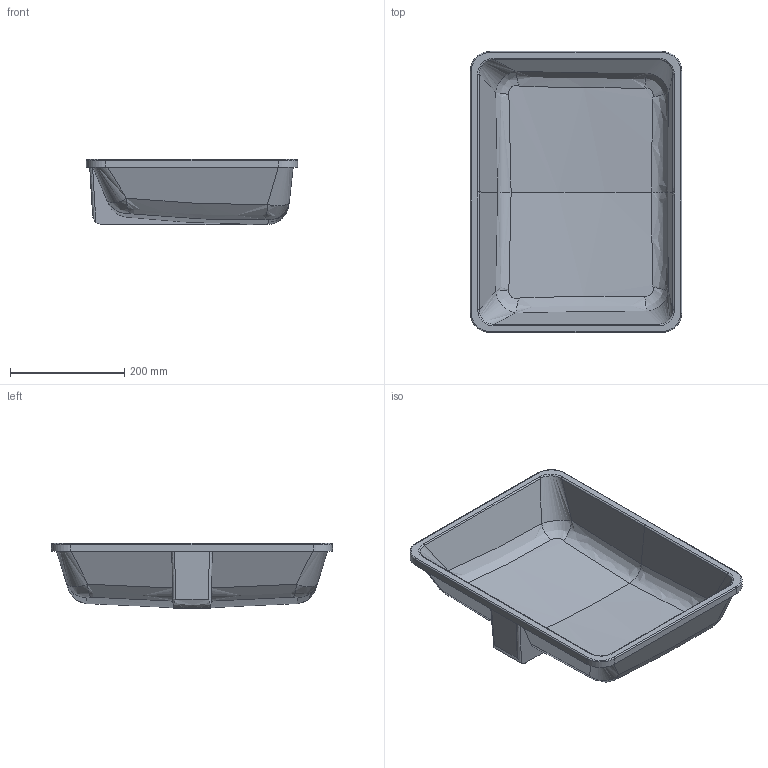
import cadquery as cq
import math

RIM_LENGTH_X = 370.04
RIM_LENGTH_Y = 492.0
RIM_HEIGHT = 14.0
RIM_CORNER_RADIUS = 34.0
RIM_TOP_ROUND = 2.0

TOTAL_HEIGHT = 114.04
WALL_THICKNESS = 8.5
LEFT_WALL_X = -173.5
RIGHT_WALL_X = 177.0
END_WALL_Y = 237.0
LEFT_WALL_SLOPE = 0.43
RIGHT_WALL_SLOPE = 0.11
END_WALL_SLOPE = 0.31
BOWL_TOP_CORNER_RADIUS = 26.0
BOWL_BOTTOM_CORNER_RADIUS = 48.0
FLOOR_FILLET = 38.0
OPENING_ROUND = 2.8

FLOOR_LOW_X = 95.0
FLOOR_ARCH_RADIUS = 1900.0
FLOOR_END_SLOPE = 0.045

CHANNEL_TOP_X = -179.0
CHANNEL_BOTTOM_X = -173.0
CHANNEL_INNER_X = FLOOR_LOW_X
CHANNEL_TOP_HALF_WIDTH = 35.5
CHANNEL_BOTTOM_HALF_WIDTH = 33.0
CHANNEL_EDGE_ROUND = 5.0
CHANNEL_BOTTOM_ROUND = 17.0

CLEARANCE = 20.0


def rectangle_wire(x_min, x_max, y_half, z):
    """Rectangle at height z, symmetric about Y = 0."""
    corners = [(x_min, -y_half), (x_max, -y_half), (x_max, y_half), (x_min, y_half)]
    return cq.Wire.makePolygon([cq.Vector(x, y, z) for x, y in corners], close=True)


def wall_section(inset, z, corner_radius):
    """Rounded outline of the bowl walls at height z, moved inward by the normal distance inset."""
    depth = -RIM_HEIGHT - z

    def inward_run(slope):
        return slope * depth + inset * math.hypot(1, slope)

    x_min = LEFT_WALL_X + inward_run(LEFT_WALL_SLOPE)
    x_max = RIGHT_WALL_X - inward_run(RIGHT_WALL_SLOPE)
    y_half = END_WALL_Y - inward_run(END_WALL_SLOPE)
    sharp_outline = rectangle_wire(x_min, x_max, y_half, z)
    return sharp_outline.fillet2D(corner_radius, sharp_outline.Vertices())


def space_above_floor(inset):
    """Block on the Y >= 0 side, above the arched floor, which is raised by inset."""
    low_z = -TOTAL_HEIGHT + inset
    reach = RIM_LENGTH_X / 2 + CLEARANCE
    radius = FLOOR_ARCH_RADIUS - inset

    def floor_z(x):
        return low_z + radius - math.sqrt(radius**2 - (x - FLOOR_LOW_X) ** 2)

    profile = (
        cq.Workplane("XZ")
        .moveTo(-reach, floor_z(-reach))
        .threePointArc((0, floor_z(0)), (reach, floor_z(reach)))
        .lineTo(reach, CLEARANCE)
        .lineTo(-reach, CLEARANCE)
        .close()
    )
    run = RIM_LENGTH_Y / 2 + CLEARANCE
    direction = cq.Vector(0, run, run * FLOOR_END_SLOPE)
    return cq.Workplane(cq.Solid.extrudeLinear(profile.val(), [], direction))


def bowl_body(inset, top_z):
    """Solid bounded by the walls and floor, moved inward by inset, up to top_z.

    One half is filleted and then mirrored, so the floor keeps its crease at Y = 0.
    """
    bottom_z = -TOTAL_HEIGHT - CLEARANCE
    top = wall_section(inset, top_z, BOWL_TOP_CORNER_RADIUS)
    bottom = wall_section(inset, bottom_z, BOWL_BOTTOM_CORNER_RADIUS)
    walls = cq.Workplane(cq.Solid.makeLoft([top, bottom], True))
    half = walls.intersect(space_above_floor(inset))
    half = half.faces("<Z").edges("not <Y").fillet(FLOOR_FILLET - inset)
    return half.union(half.mirror("XZ"))


def rim():
    """Solid plate that becomes the flange once the cavity is cut."""
    plate = cq.Workplane("XY").rect(RIM_LENGTH_X, RIM_LENGTH_Y).extrude(-RIM_HEIGHT)
    plate = plate.edges("|Z").fillet(RIM_CORNER_RADIUS)
    return plate.faces(">Z").edges().fillet(RIM_TOP_ROUND)


def overflow_channel():
    """Drafted block below the rim that runs from outside the left wall to under the floor."""
    top = rectangle_wire(CHANNEL_TOP_X, CHANNEL_INNER_X, CHANNEL_TOP_HALF_WIDTH, -RIM_HEIGHT)
    bottom = rectangle_wire(
        CHANNEL_BOTTOM_X, CHANNEL_INNER_X, CHANNEL_BOTTOM_HALF_WIDTH, -TOTAL_HEIGHT
    )
    block = cq.Workplane(cq.Solid.makeLoft([top, bottom], True))
    toe_rounded = block.faces("<X").edges("<Z").fillet(CHANNEL_BOTTOM_ROUND)
    sides_rounded = block.faces("<X").edges("not(|Y)").fillet(CHANNEL_EDGE_ROUND)
    return toe_rounded.intersect(sides_rounded)


outer = bowl_body(0, -RIM_HEIGHT)
cavity = bowl_body(WALL_THICKNESS, 0)
basin = rim().union(outer).union(overflow_channel()).cut(cavity)
opening = basin.faces(">Z").val().innerWires()[0]
result = basin.newObject(opening.Edges()).fillet(OPENING_ROUND)